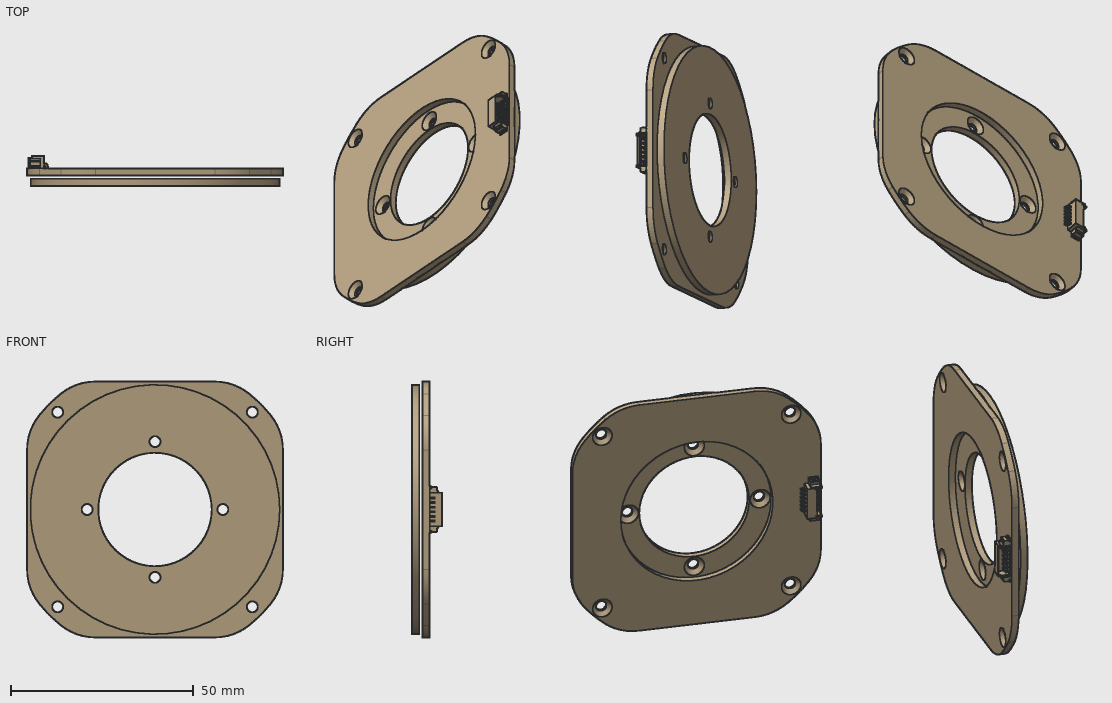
import cadquery as cq
import math


disc_diameter = 68.2
disc_thickness = 2.0
bore_diameter = 30.95
disc_hole_circle = 37.1

board_width = 70.0
board_thickness = 1.95
board_gap = 0.85
corner_radius = 40.8
blend_radius = 15.0
board_bore_diameter = 42.85
board_hole_spacing = 53.2

screw_hole_diameter = 2.95
countersink_angle = 90.0
screw_lip = 0.7

housing_inset = 0.4
housing_depth = 4.3
housing_height = 3.4
housing_length = 9.25
roof_thickness = 0.5
roof_setback = 0.9
lip_setback = 1.55
lip_slope = 0.5
floor_thickness = 0.5
end_wall = 0.55
mouth_chamfer = 0.3
back_wall = 1.1

pin_count = 6
pin_pitch = 1.25
pin_width = 0.35
pin_height = 0.7
pin_length = 2.95
pin_bevel = 0.3
pin_lift = 0.9
lead_reach = 0.9
lead_thickness = 0.7
foot_reach = 1.2

tab_inset = 0.4
tab_depth = 2.7
tab_reach = 1.55
tab_top = 2.1
tab_chamfer = 0.2
tab_undercut = 0.4
tab_root_rise = 0.55
tab_root_reach = 0.55
tab_foot_reach = 1.8
tab_foot_thickness = 0.35

board_front = disc_thickness + board_gap
board_back = board_front + board_thickness
housing_front = -board_width / 2 + housing_inset
housing_back = housing_front + housing_depth


def plate_plane(y):
    """Sketch plane at the given Y whose local axes are X and Z; extrude negatively to go towards +Y."""
    return cq.Workplane("XZ", origin=(0, y, 0))


def box(x_range, y_range, z_range):
    """Box spanning the given (low, high) ranges."""
    size = [high - low for low, high in (x_range, y_range, z_range)]
    corner = (x_range[0], y_range[0], z_range[0])
    return cq.Workplane("XY").box(*size, centered=False).translate(corner)


def make_screw_hole(centre, front, thickness):
    """Cutter for a hole through a plate whose front is at y = front: a straight lip, then a cone."""
    x, z = centre
    radius = screw_hole_diameter / 2
    cone_depth = thickness - screw_lip
    back_radius = radius + cone_depth * math.tan(math.radians(countersink_angle / 2))
    return (
        cq.Workplane("XY", origin=(x, front, z))
        .polyline([
            (0, 0),
            (radius, 0),
            (radius, screw_lip),
            (back_radius, thickness),
            (0, thickness),
        ])
        .close()
        .revolve(360, (0, 0, 0), (0, 1, 0))
    )


def make_disc():
    disc = plate_plane(0).circle(disc_diameter / 2).circle(bore_diameter / 2).extrude(-disc_thickness)
    reach = disc_hole_circle / 2
    for centre in ((reach, 0), (0, reach), (-reach, 0), (0, -reach)):
        disc = disc.cut(make_screw_hole(centre, 0, disc_thickness))
    return disc


def board_outline():
    """Closed outline: four flats, four corner arcs about the centre and eight tangent blends."""
    half = board_width / 2
    blend_z = half - blend_radius
    blend_x = math.sqrt((corner_radius - blend_radius) ** 2 - blend_z ** 2)
    join_angle = math.degrees(math.atan2(blend_z, blend_x))

    def polar(radius, degrees, centre=(0, 0)):
        angle = math.radians(degrees)
        return (centre[0] + radius * math.cos(angle), centre[1] + radius * math.sin(angle))

    upper_blend = (blend_x, blend_z)
    right_blend = (blend_z, blend_x)
    corner = [
        (half, blend_x),
        polar(blend_radius, (90 - join_angle) / 2, right_blend),
        polar(corner_radius, 90 - join_angle),
        polar(corner_radius, 45),
        polar(corner_radius, join_angle),
        polar(blend_radius, (90 + join_angle) / 2, upper_blend),
        (blend_x, half),
    ]
    outline = plate_plane(board_front).moveTo(half, -blend_x)
    for _ in range(4):
        outline = outline.lineTo(*corner[0])
        for middle, end in ((1, 2), (3, 4), (5, 6)):
            outline = outline.threePointArc(corner[middle], corner[end])
        corner = [(-z, x) for x, z in corner]
    return outline.close()


def make_board():
    bore = plate_plane(board_front).circle(board_bore_diameter / 2).extrude(-board_thickness)
    board = board_outline().extrude(-board_thickness).cut(bore)
    reach = board_hole_spacing / 2
    for x in (-reach, reach):
        for z in (-reach, reach):
            board = board.cut(make_screw_hole((x, z), board_front, board_thickness))
    return board


def mouth_section(base, top, reach):
    """Corners of a (Y, Z) rectangle symmetric about Z = 0."""
    return [(base, -reach), (top, -reach), (top, reach), (base, reach)]


def make_housing():
    top = board_back + housing_height
    ceiling = top - roof_thickness
    half = housing_length / 2
    floor = board_back + floor_thickness
    inner = half - end_wall
    block = box((housing_front, housing_back), (board_back, top), (-half, half))
    roof_step = box((housing_front, housing_front + roof_setback), (ceiling, top), (-half, half))
    cavity = box((housing_front, housing_back - back_wall), (floor, ceiling), (-inner, inner))
    mouth = (
        cq.Workplane("YZ", origin=(housing_front, 0, 0))
        .polyline(mouth_section(floor - mouth_chamfer, ceiling, inner + mouth_chamfer))
        .close()
        .workplane(offset=mouth_chamfer)
        .polyline(mouth_section(floor, ceiling, inner))
        .close()
        .loft(ruled=True)
    )
    lip_relief = (
        cq.Workplane("XY", origin=(0, 0, -inner))
        .polyline([
            (housing_front, top),
            (housing_front + lip_setback, top),
            (housing_front + lip_setback + lip_slope, ceiling),
            (housing_front, ceiling),
        ])
        .close()
        .extrude(2 * inner)
    )
    return block.cut(roof_step).cut(cavity).cut(mouth).cut(lip_relief)


def make_contact(z):
    """Pin with its tip bevelled underneath, and the lead that steps from the back wall down to the board."""
    side = cq.Workplane("XY", origin=(0, 0, z - pin_width / 2))
    pin_base = board_back + pin_lift
    pin_top = pin_base + pin_height
    cavity_back = housing_back - back_wall
    pin_tip = cavity_back - pin_length
    pin = (
        side.polyline([
            (cavity_back, pin_top),
            (pin_tip, pin_top),
            (pin_tip, pin_base + pin_bevel),
            (pin_tip + pin_bevel, pin_base),
            (cavity_back, pin_base),
        ])
        .close()
        .extrude(pin_width)
    )
    lead_top = board_back + 2 * lead_thickness
    lead = (
        side.polyline([
            (housing_back, lead_top),
            (housing_back + lead_reach - lead_thickness / 2, lead_top),
            (housing_back + lead_reach, lead_top - lead_thickness / 2),
            (housing_back + foot_reach, board_back),
            (housing_back + foot_reach - lead_thickness, board_back),
            (housing_back + lead_reach - lead_thickness, board_back + lead_thickness),
            (housing_back, board_back + lead_thickness),
        ])
        .close()
        .extrude(pin_width)
    )
    return pin.union(lead)


def make_tab():
    """Solder tab at the +Z end of the housing, with a sloped root and a flat foot on the board."""
    start = housing_front + tab_inset
    root = housing_length / 2
    top = board_back + tab_top
    tip = root + tab_reach
    return (
        cq.Workplane("YZ", origin=(start, 0, 0))
        .polyline([
            (board_back, root),
            (top + tab_root_rise, root),
            (top, root + tab_root_reach),
            (top, tip - tab_chamfer),
            (top - tab_chamfer, tip),
            (board_back + tab_foot_thickness + tab_undercut, tip),
            (board_back + tab_foot_thickness, tip - tab_undercut),
            (board_back + tab_foot_thickness, root + tab_foot_reach),
            (board_back, root + tab_foot_reach),
        ])
        .close()
        .extrude(tab_depth)
    )


def make_connector():
    connector = make_housing()
    for index in range(pin_count):
        z = (index - (pin_count - 1) / 2) * pin_pitch
        connector = connector.union(make_contact(z))
    tab = make_tab()
    return connector.union(tab).union(tab.mirror("XY"))


disc = make_disc()
board = make_board()
connector = make_connector()

result = cq.Compound.makeCompound([disc.val(), board.val(), connector.val()])